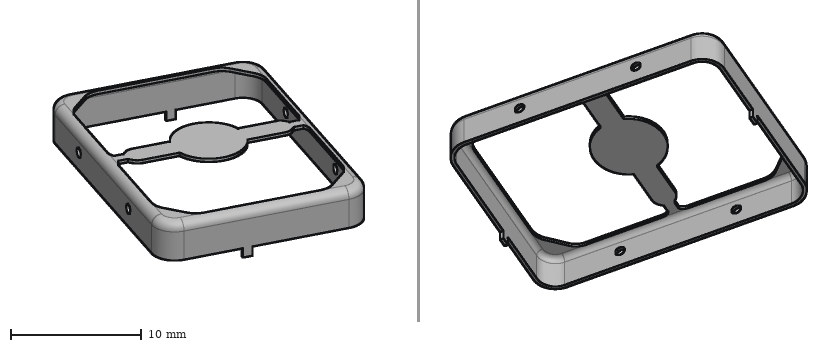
import cadquery as cq
import math

LENGTH = 23.3
WIDTH = 17.5
WALL_HEIGHT = 3.3
SHEET = 0.3
CORNER_RADIUS = 1.9
BEND_RADIUS = 0.8

WINDOW_SIDE_INSET = 0.85
WINDOW_END_INSET = 0.8
WINDOW_LENGTH = LENGTH - 2 * WINDOW_SIDE_INSET
WINDOW_WIDTH = WIDTH - 2 * WINDOW_END_INSET
WINDOW_BEVEL = 2.4
WINDOW_BLEND_RADIUS = 1.75

DISC_RADIUS = 3.0
STRAP_HALF_WIDTH = 1.0
NECK_HALF_WIDTH = 0.45
NECK_LENGTH = 1.05
NECK_ROOT_RADIUS = 1.0
NECK_ROOT_DEPTH = 0.28
SHOULDER_RADIUS = 1.0

HOLE_DIAMETER = 0.8
HOLE_OFFSET = 5.0
HOLE_DEPTH_BELOW_TOP = 1.75

TAB_WIDTH = 0.8
TAB_HEIGHT = 0.8
TAB_OFFSET = 1.55


def make_shell():
    """Rounded can of constant thickness with a bent top edge."""
    outer = (
        cq.Workplane("XY")
        .rect(LENGTH, WIDTH)
        .extrude(WALL_HEIGHT)
        .edges("|Z")
        .fillet(CORNER_RADIUS)
        .faces(">Z")
        .edges()
        .fillet(BEND_RADIUS)
    )
    inner = (
        cq.Workplane("XY")
        .rect(LENGTH - 2 * SHEET, WIDTH - 2 * SHEET)
        .extrude(WALL_HEIGHT - SHEET)
        .edges("|Z")
        .fillet(CORNER_RADIUS - SHEET)
        .faces(">Z")
        .edges()
        .fillet(BEND_RADIUS - SHEET)
    )
    return outer.cut(inner)


def make_window():
    """Cutter for the whole window, deep enough to clear the top sheet."""
    return (
        cq.Workplane("XY", origin=(0, 0, WALL_HEIGHT - BEND_RADIUS))
        .rect(WINDOW_LENGTH, WINDOW_WIDTH)
        .extrude(BEND_RADIUS)
        .edges("|Z")
        .chamfer(WINDOW_BEVEL)
        .edges("|Z")
        .fillet(WINDOW_BLEND_RADIUS)
    )


def make_strap(direction):
    """Strap from the disc centre to the window edge, toward +Y (1) or -Y (-1)."""
    edge = WINDOW_WIDTH / 2

    root_sweep = math.acos(1 - NECK_ROOT_DEPTH / NECK_ROOT_RADIUS)
    root_end = NECK_HALF_WIDTH + NECK_ROOT_RADIUS * math.sin(root_sweep)
    root_middle = (
        root_end - NECK_ROOT_RADIUS * math.sin(root_sweep / 2),
        edge - NECK_ROOT_RADIUS * (1 - math.cos(root_sweep / 2)),
    )

    neck_end = edge - NECK_LENGTH
    shoulder_corner = neck_end - (STRAP_HALF_WIDTH - NECK_HALF_WIDTH)
    shoulder_sweep = math.radians(45)
    tangent = SHOULDER_RADIUS * math.tan(shoulder_sweep / 2)
    blend_centre = (STRAP_HALF_WIDTH - SHOULDER_RADIUS, shoulder_corner - tangent)
    blend_start = (
        blend_centre[0] + SHOULDER_RADIUS * math.cos(shoulder_sweep),
        blend_centre[1] + SHOULDER_RADIUS * math.sin(shoulder_sweep),
    )
    blend_middle = (
        blend_centre[0] + SHOULDER_RADIUS * math.cos(shoulder_sweep / 2),
        blend_centre[1] + SHOULDER_RADIUS * math.sin(shoulder_sweep / 2),
    )

    half = (
        cq.Workplane("XY", origin=(0, 0, WALL_HEIGHT - SHEET))
        .moveTo(0, 0)
        .lineTo(0, edge)
        .lineTo(root_end, edge)
        .threePointArc(root_middle, (NECK_HALF_WIDTH, edge - NECK_ROOT_DEPTH))
        .lineTo(NECK_HALF_WIDTH, neck_end)
        .lineTo(*blend_start)
        .threePointArc(blend_middle, (STRAP_HALF_WIDTH, blend_centre[1]))
        .lineTo(STRAP_HALF_WIDTH, 0)
        .close()
        .extrude(SHEET)
    )
    strap = half.union(half.mirror("YZ"))
    return strap if direction > 0 else strap.mirror("XZ")


def make_bridge():
    """Central disc with its two straps."""
    disc = (
        cq.Workplane("XY", origin=(0, 0, WALL_HEIGHT - SHEET))
        .circle(DISC_RADIUS)
        .extrude(SHEET)
    )
    return disc.union(make_strap(1)).union(make_strap(-1))


def make_wall_holes():
    """Cutters passing through both long walls."""
    return (
        cq.Workplane("XZ", origin=(0, 0, WALL_HEIGHT - HOLE_DEPTH_BELOW_TOP))
        .pushPoints([(-HOLE_OFFSET, 0), (HOLE_OFFSET, 0)])
        .circle(HOLE_DIAMETER / 2)
        .extrude(WIDTH, both=True)
    )


def make_tab(side):
    """Tab flush with the short wall at +X (1) or -X (-1), placed diagonally."""
    x_centre = side * (LENGTH - SHEET) / 2
    return (
        cq.Workplane("XY")
        .center(x_centre, -side * TAB_OFFSET)
        .rect(SHEET, TAB_WIDTH)
        .extrude(-TAB_HEIGHT)
    )


result = make_shell().cut(make_window()).union(make_bridge()).cut(make_wall_holes())
for tab_side in (-1, 1):
    result = result.union(make_tab(tab_side))